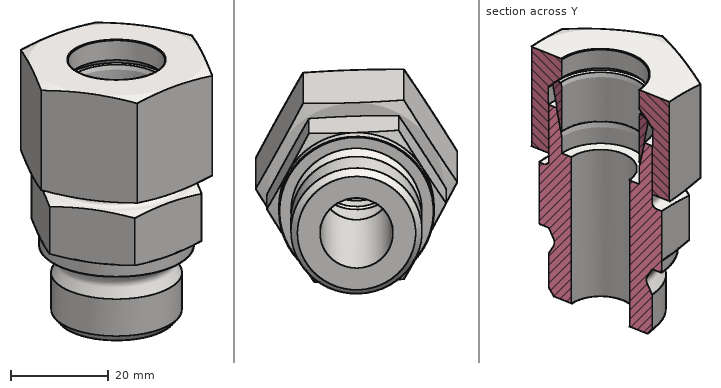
import cadquery as cq
import math


total_height = 58.0

tube_diameter = 20.0
flow_diameter = 15.0
taper_half_angle = 12.0
hex_sides = 6
hex_chamfer_angle = 15.0

stud_diameter = 27.0
stud_length = 16.0
stud_chamfer_width = 1.35
stud_chamfer_height = 1.6
groove_length = 6.05
groove_flank_angle = 30.0
groove_radius = 1.8
flange_diameter = 32.0
flange_height = 2.95
flange_chamfer = 0.2
body_hex_width = flange_diameter
body_hex_height = 12.0
neck_diameter = stud_diameter
neck_fillet = 1.3
socket_mouth_diameter = 22.8
tube_seat_length = 3.9

nut_hex_width = 36.0
nut_height = 24.0
nut_bore_chamfer = 0.2
nut_collar_length = 4.6

ring_back_diameter = 22.4
ring_outer_diameter = 25.0
ring_bore_chamfer_width = 0.3
ring_bore_chamfer_height = 1.0
ring_tip_diameter = 20.6

tube_radius = tube_diameter / 2
flow_radius = flow_diameter / 2
stud_radius = stud_diameter / 2
flange_radius = flange_diameter / 2
neck_radius = neck_diameter / 2
mouth_radius = socket_mouth_diameter / 2
ring_back_radius = ring_back_diameter / 2
ring_radius = ring_outer_diameter / 2
ring_tip_radius = ring_tip_diameter / 2
taper_slope = math.tan(math.radians(taper_half_angle))

hex_bottom_z = stud_length + flange_height
hex_top_z = hex_bottom_z + body_hex_height
nut_bottom_z = total_height - nut_height
collar_bottom_z = total_height - nut_collar_length

shoulder_bottom_z = collar_bottom_z - (neck_radius - tube_radius)
ring_top_z = collar_bottom_z - (ring_back_radius - tube_radius)
ring_shoulder_z = collar_bottom_z - (ring_radius - tube_radius)

ring_tip_z = ring_shoulder_z - (ring_radius - ring_tip_radius) / taper_slope
body_top_z = ring_shoulder_z - (ring_radius - mouth_radius) / taper_slope
socket_bottom_z = ring_shoulder_z - (ring_radius - tube_radius) / taper_slope
tube_stop_z = socket_bottom_z - tube_seat_length


def revolve_about_z(profile):
    """Full turn of a closed (radius, height) profile about the Z axis."""
    return profile.close().revolve(360, (0, 0, 0), (0, 1, 0))


def chamfered_hexagon(width, bottom_z, height):
    """Hexagonal prism with corners up +Y and -Y, turned to a cone at both ends."""
    half_sector = 180 / hex_sides
    flat_radius = width / 2
    corner_radius = flat_radius / math.cos(math.radians(half_sector))
    corner_drop = (corner_radius - flat_radius) * math.tan(math.radians(hex_chamfer_angle))
    top_z = bottom_z + height
    prism = (
        cq.Workplane("XY", origin=(0, 0, bottom_z))
        .transformed(rotate=(0, 0, half_sector))
        .polygon(hex_sides, 2 * corner_radius)
        .extrude(height)
    )
    turned_blank = revolve_about_z(
        cq.Workplane("XZ")
        .moveTo(0, bottom_z)
        .lineTo(flat_radius, bottom_z)
        .lineTo(corner_radius, bottom_z + corner_drop)
        .lineTo(corner_radius, top_z - corner_drop)
        .lineTo(flat_radius, top_z)
        .lineTo(0, top_z)
    )
    return prism.intersect(turned_blank)


def make_stud():
    """Screw-in end with its rounded V-groove, and the flange above it."""
    flank = math.radians(groove_flank_angle)
    groove_middle_z = stud_length - groove_length / 2
    arc_half_height = groove_radius * math.sin(flank)
    flank_depth = (groove_length / 2 - arc_half_height) * math.tan(flank)
    arc_end_radius = stud_radius - flank_depth
    groove_floor_radius = arc_end_radius - groove_radius * (1 - math.cos(flank))
    return revolve_about_z(
        cq.Workplane("XZ")
        .moveTo(0, 0)
        .lineTo(stud_radius - stud_chamfer_width, 0)
        .lineTo(stud_radius, stud_chamfer_height)
        .lineTo(stud_radius, stud_length - groove_length)
        .lineTo(arc_end_radius, groove_middle_z - arc_half_height)
        .threePointArc(
            (groove_floor_radius, groove_middle_z),
            (arc_end_radius, groove_middle_z + arc_half_height),
        )
        .lineTo(stud_radius, stud_length)
        .lineTo(flange_radius - flange_chamfer, stud_length)
        .lineTo(flange_radius, stud_length + flange_chamfer)
        .lineTo(flange_radius, hex_bottom_z)
        .lineTo(0, hex_bottom_z)
    )


def make_neck():
    """Cylinder that enters the nut, with a fillet at its foot on the hexagon."""
    return revolve_about_z(
        cq.Workplane("XZ")
        .moveTo(0, hex_top_z)
        .lineTo(neck_radius + neck_fillet, hex_top_z)
        .radiusArc((neck_radius, hex_top_z + neck_fillet), neck_fillet)
        .lineTo(neck_radius, body_top_z)
        .lineTo(0, body_top_z)
    )


def make_body_bore():
    """Through bore, tube seat and tapered socket, as a cutting tool."""
    return revolve_about_z(
        cq.Workplane("XZ")
        .moveTo(0, 0)
        .lineTo(flow_radius, 0)
        .lineTo(flow_radius, tube_stop_z)
        .lineTo(tube_radius, tube_stop_z)
        .lineTo(tube_radius, socket_bottom_z)
        .lineTo(mouth_radius, body_top_z)
        .lineTo(0, body_top_z)
    )


def make_body():
    hexagon = chamfered_hexagon(body_hex_width, hex_bottom_z, body_hex_height)
    return make_stud().union(hexagon).union(make_neck()).cut(make_body_bore())


def make_nut():
    hexagon = chamfered_hexagon(nut_hex_width, nut_bottom_z, nut_height)
    bore = revolve_about_z(
        cq.Workplane("XZ")
        .moveTo(0, nut_bottom_z)
        .lineTo(neck_radius, nut_bottom_z)
        .lineTo(neck_radius, shoulder_bottom_z)
        .lineTo(tube_radius, collar_bottom_z)
        .lineTo(tube_radius, total_height - nut_bore_chamfer)
        .lineTo(tube_radius + nut_bore_chamfer, total_height)
        .lineTo(0, total_height)
    )
    return hexagon.cut(bore)


def make_cutting_ring():
    """Ring with a 45 degree back that bears on the nut and a long taper into the body."""
    return revolve_about_z(
        cq.Workplane("XZ")
        .moveTo(tube_radius, ring_tip_z)
        .lineTo(ring_tip_radius, ring_tip_z)
        .lineTo(ring_radius, ring_shoulder_z)
        .lineTo(ring_back_radius, ring_top_z)
        .lineTo(tube_radius + ring_bore_chamfer_width, ring_top_z)
        .lineTo(tube_radius, ring_top_z - ring_bore_chamfer_height)
    )


body = make_body()
nut = make_nut()
cutting_ring = make_cutting_ring()

result = cq.Compound.makeCompound([body.val(), nut.val(), cutting_ring.val()])